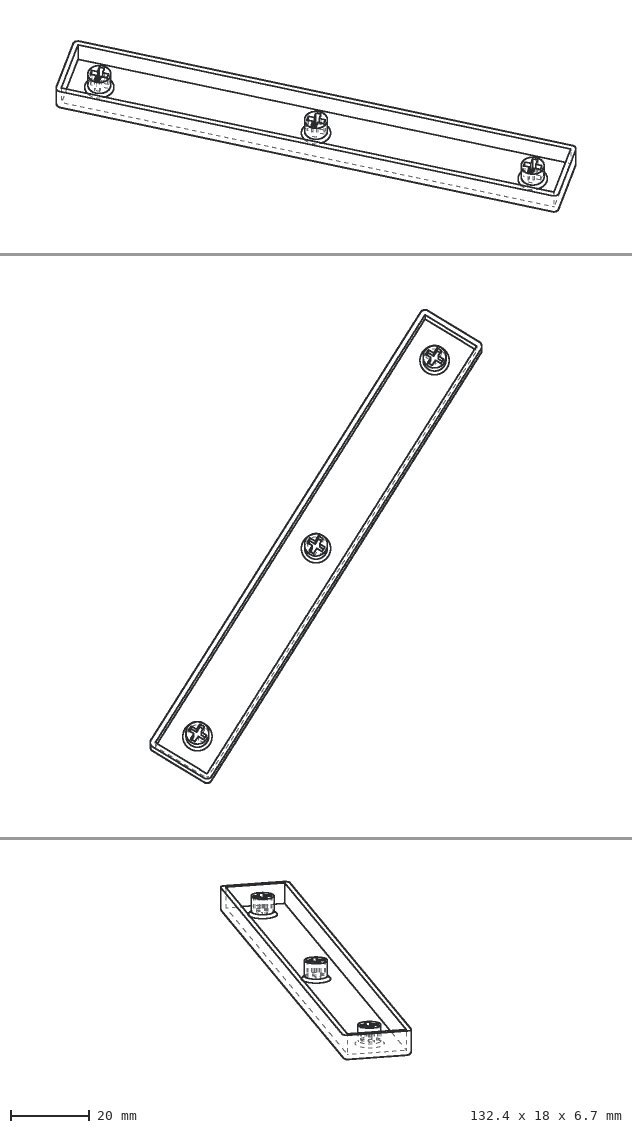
import cadquery as cq

length = 132.4
width = 18.0
height = 6.7
wall = 1.3
floor = 1.3
corner_radius = 1.3
bottom_radius = 1.2

post_diameter = 5.8
post_spacing = 57.0
post_top_gap = 0.5
post_height = height - floor - post_top_gap
post_base_flare = 0.8
cross_length = 4.5
cross_slot_width = 1.3
cross_depth = 3.8


def make_tray():
    """Open-topped tray with rounded vertical corners and a rounded bottom edge."""
    body = cq.Workplane("XY").box(length, width, height, centered=(True, True, False))
    body = body.edges("|Z").fillet(corner_radius)
    body = body.faces("<Z").edges().fillet(bottom_radius)
    cavity = (
        cq.Workplane("XY")
        .workplane(offset=floor)
        .rect(length - 2 * wall, width - 2 * wall)
        .extrude(height - floor)
    )
    return body.cut(cavity)


def make_post():
    """Round post standing on the floor, flared by a 45 degree cone at its base."""
    radius = post_diameter / 2
    return (
        cq.Workplane("XZ")
        .moveTo(0, 0)
        .lineTo(radius + post_base_flare, 0)
        .lineTo(radius, post_base_flare)
        .lineTo(radius, post_height)
        .lineTo(0, post_height)
        .close()
        .revolve(360, (0, 0, 0), (0, 1, 0))
        .translate((0, 0, floor))
    )


def make_cross_socket():
    """Two crossing slots, cut down from the top of a post."""
    socket = cq.Workplane("XY").workplane(offset=floor + post_height - cross_depth)
    along_x = socket.rect(cross_length, cross_slot_width).extrude(cross_depth)
    along_y = socket.rect(cross_slot_width, cross_length).extrude(cross_depth)
    return along_x.union(along_y)


post = make_post().cut(make_cross_socket())

result = make_tray()
for post_x in (-post_spacing, 0, post_spacing):
    result = result.union(post.translate((post_x, 0, 0)))